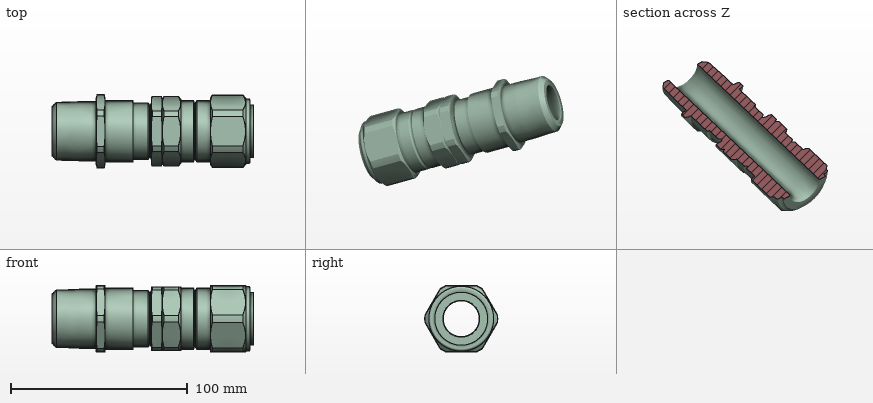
import cadquery as cq
import math


total_length = 114.3
bore_radius = 10.2
bore_chamfer = 0.4

entry_chamfer = 2.6
thread_radius = 16.75
thread_taper_end = 16.3
taper_per_length = 1 / 32

flange_start = 25.1
flange_end = 30.2
flange_flats = 37.6
flange_corner_radius = 20.67
flange_face_radius = 18.5
flange_bevel = 0.55

body_radius = 17.35
body_end = 45.85
neck_radius = 16.0
neck_bevel_start = 54.5
neck_bevel = 0.9
undercut_radius = 14.6
undercut_slope = 0.6

middle_flats = 36.0
middle_corner_radius = 19.8
middle_valley_radius = 17.9
lock_start = 56.4
lock_face_radius = 18.6
lock_bevel_front = 0.5
lock_bevel_back = 0.5
middle_start = 62.5
middle_end = 73.0
middle_bevel_front = 1.0
middle_bevel_back = 1.35
middle_face_radius = 18.0

groove_start = 80.2
groove_floor_radius = 16.0
groove_wall = 0.5
groove_floor = 0.6
groove_slope = 0.9

nut_start = 89.8
nut_end = 110.0
nut_flats = 37.5
nut_corner_radius = 20.5
nut_front_bevel = 1.1
nut_front_face_radius = 18.7
nut_back_bevel = 1.8
rear_collar_radius = 18.35
rear_collar_end = 112.3
rear_collar_fillet = 1.2
tube_radius = 15.0


def revolve_outline(points):
    """Turn an open (x, radius) outline into a solid about the X axis."""
    first_x = points[0][0]
    last_x = points[-1][0]
    outline = [(first_x, 0)] + points + [(last_x, 0)]
    return cq.Workplane("XY").polyline(outline).close().revolve(360, (0, 0, 0), (1, 0, 0))


def cylinder(start, end, radius):
    return revolve_outline([(start, radius), (end, radius)])


def hexagon(start, end, flats, corner_radius, front_bevel, front_radius, back_bevel, back_radius):
    """Hexagon with flats facing +Z and -Z, its corners turned down and bevelled at both ends."""
    across_corners = flats / math.cos(math.pi / 6)
    prism = (
        cq.Workplane("YZ")
        .workplane(offset=start)
        .polygon(6, across_corners)
        .extrude(end - start)
    )
    envelope = revolve_outline([
        (start, front_radius),
        (start + front_bevel, corner_radius),
        (end - back_bevel, corner_radius),
        (end, back_radius),
    ])
    return prism.intersect(envelope)


def make_thread():
    taper_length = thread_taper_end - entry_chamfer
    nose_radius = thread_radius - taper_length * taper_per_length
    return revolve_outline([
        (0, nose_radius - entry_chamfer),
        (entry_chamfer, nose_radius),
        (thread_taper_end, thread_radius),
        (flange_start, thread_radius),
    ])


def make_flange():
    return hexagon(
        flange_start, flange_end, flange_flats, flange_corner_radius,
        flange_bevel, flange_face_radius, flange_bevel, flange_face_radius,
    )


def make_body():
    return revolve_outline([
        (flange_end, body_radius),
        (body_end, body_radius),
        (body_end, neck_radius),
        (neck_bevel_start, neck_radius),
        (neck_bevel_start + neck_bevel, undercut_radius),
        (lock_start - undercut_slope, undercut_radius),
        (lock_start, neck_radius),
    ])


def make_lock_hexagon():
    return hexagon(
        lock_start, middle_start, middle_flats, middle_corner_radius,
        lock_bevel_front, lock_face_radius, lock_bevel_back, middle_valley_radius,
    )


def make_middle_hexagon():
    return hexagon(
        middle_start, middle_end, middle_flats, middle_corner_radius,
        middle_bevel_front, middle_valley_radius, middle_bevel_back, middle_face_radius,
    )


def make_grooved_collars():
    floor_start = groove_start + groove_wall
    floor_end = floor_start + groove_floor
    return revolve_outline([
        (middle_end, body_radius),
        (groove_start, body_radius),
        (floor_start, groove_floor_radius),
        (floor_end, groove_floor_radius),
        (floor_end + groove_slope, body_radius),
        (nut_start, body_radius),
    ])


def make_rear_nut():
    return hexagon(
        nut_start, nut_end, nut_flats, nut_corner_radius,
        nut_front_bevel, nut_front_face_radius, nut_back_bevel, rear_collar_radius,
    )


def make_rear_collar():
    collar = cylinder(nut_end, rear_collar_end, rear_collar_radius)
    return collar.faces(">X").edges().fillet(rear_collar_fillet)


def make_bore():
    return revolve_outline([
        (0, bore_radius + bore_chamfer),
        (bore_chamfer, bore_radius),
        (total_length, bore_radius),
    ])


result = (
    make_thread()
    .union(make_flange())
    .union(make_body())
    .union(make_lock_hexagon())
    .union(make_middle_hexagon())
    .union(make_grooved_collars())
    .union(make_rear_nut())
    .union(make_rear_collar())
    .union(cylinder(rear_collar_end, total_length, tube_radius))
    .cut(make_bore())
)